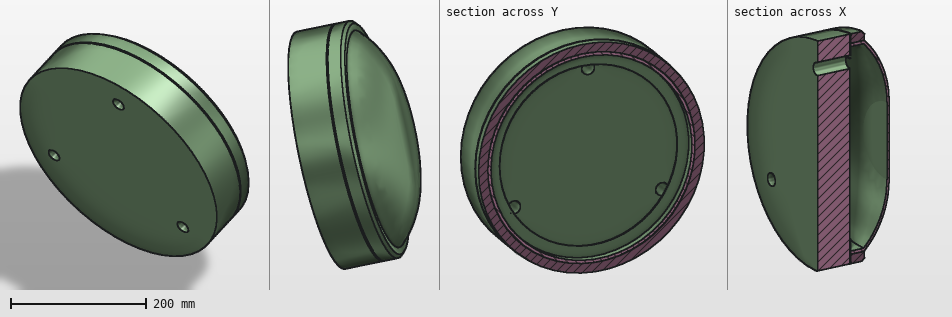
import cadquery as cq
import math


outer_radius = 179.5
base_height = 59.0
hole_count = 3
hole_diameter = 20.0
hole_circle_radius = 135.5
first_hole_angle = 90.0

gasket_thickness = 2.0
gasket_inset = 3.0
gasket_inner_radius = 141.0

bezel_height = 25.0
bezel_chamfer = 5.0

overall_height = 131.0
dome_radius = 164.0
dome_flat_radius = 60.0
dome_wall = 5.0

gasket_top = base_height + gasket_thickness
bezel_top = gasket_top + bezel_height

shoulder_run = dome_radius - dome_flat_radius
shoulder_drop = overall_height - bezel_top
shoulder_radius = (shoulder_run**2 + shoulder_drop**2) / (2 * shoulder_drop)
shoulder_centre_y = overall_height - shoulder_radius


def spin(profile):
    """Revolve a closed profile about the Y axis."""
    return profile.revolve(360, (0, 0, 0), (0, 1, 0))


def disc(radius, bottom, height):
    """Solid disc on the Y axis, from y = bottom to y = bottom + height."""
    profile = cq.Workplane("XY").moveTo(0, bottom).lineTo(0, bottom + height)
    profile = profile.lineTo(radius, bottom + height).lineTo(radius, bottom).close()
    return spin(profile)


def shoulder_point(radius, distance_from_axis):
    """Point of a shoulder arc of the given radius at a distance from the Y axis."""
    run = distance_from_axis - dome_flat_radius
    return distance_from_axis, shoulder_centre_y + math.sqrt(radius**2 - run**2)


def dome_blank(side_radius, arc_radius):
    """Solid dome: straight side, shoulder arc and flat top, standing on the gasket."""
    middle_radius = (dome_flat_radius + side_radius) / 2
    top = shoulder_centre_y + arc_radius
    profile = (
        cq.Workplane("XY")
        .moveTo(0, gasket_top)
        .lineTo(side_radius, gasket_top)
        .lineTo(*shoulder_point(arc_radius, side_radius))
        .threePointArc(shoulder_point(arc_radius, middle_radius), (dome_flat_radius, top))
        .lineTo(0, top)
        .close()
    )
    return spin(profile)


def make_base():
    base = disc(outer_radius, 0, base_height)
    for index in range(hole_count):
        angle = math.radians(first_hole_angle + index * 360 / hole_count)
        x = hole_circle_radius * math.cos(angle)
        z = hole_circle_radius * math.sin(angle)
        hole = cq.Solid.makeCylinder(
            hole_diameter / 2, base_height, cq.Vector(x, 0, z), cq.Vector(0, 1, 0)
        )
        base = base.cut(cq.Workplane(hole))
    return base


def make_gasket():
    gasket = disc(outer_radius - gasket_inset, base_height, gasket_thickness)
    return gasket.cut(disc(gasket_inner_radius, base_height, gasket_thickness))


def make_bezel():
    bezel = disc(outer_radius, gasket_top, bezel_height)
    bezel = bezel.faces(">Y").edges().chamfer(bezel_chamfer)
    return bezel.cut(disc(dome_radius, gasket_top, bezel_height))


def make_dome():
    outside = dome_blank(dome_radius, shoulder_radius)
    inside = dome_blank(dome_radius - dome_wall, shoulder_radius - dome_wall)
    return outside.cut(inside)


base = make_base()
gasket = make_gasket()
bezel = make_bezel()
dome = make_dome()

result = cq.Compound.makeCompound([base.val(), gasket.val(), bezel.val(), dome.val()])